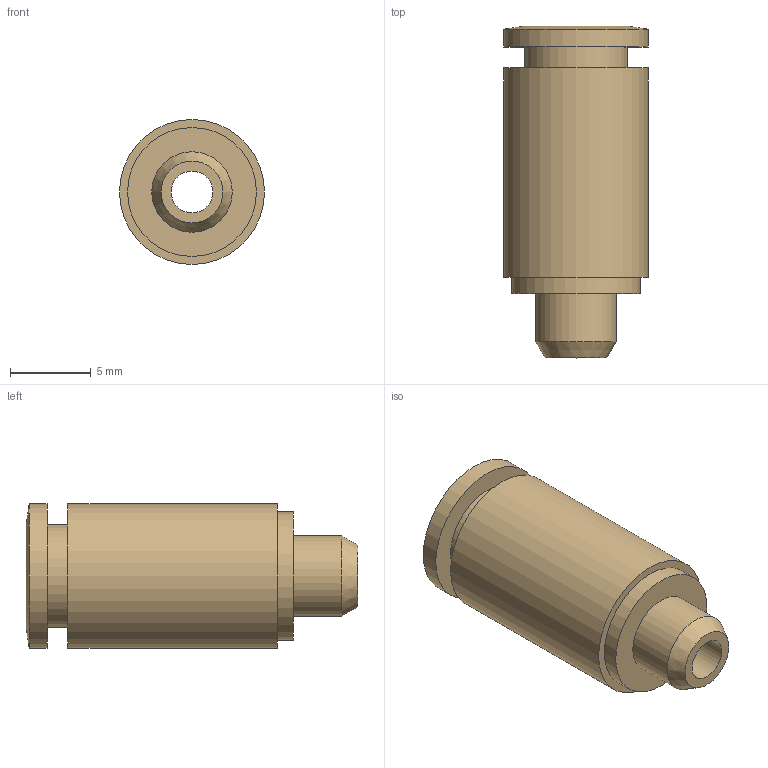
import cadquery as cq
import math


body_diameter = 9.0
collar_diameter = 8.0
nose_diameter = 5.0
groove_diameter = 6.4
head_face_diameter = 6.4
bore_diameter = 2.6

nose_length = 4.0
nose_taper_length = 1.0
collar_length = 1.0
body_length = 13.0
groove_width = 1.3
flange_thickness = 1.1
head_taper_length = 0.2

nose_taper_angle = 30.0

body_radius = body_diameter / 2
collar_radius = collar_diameter / 2
nose_radius = nose_diameter / 2
groove_radius = groove_diameter / 2
head_face_radius = head_face_diameter / 2
nose_tip_radius = nose_radius - nose_taper_length * math.tan(math.radians(nose_taper_angle))

collar_start = nose_length
body_start = collar_start + collar_length
groove_start = body_start + body_length
flange_start = groove_start + groove_width
head_taper_start = flange_start + flange_thickness
overall_length = head_taper_start + head_taper_length


def revolved_sleeve():
    """Solid of revolution: tapered nose, collar, body, groove and flanged head."""
    return (
        cq.Workplane("XY")
        .moveTo(0, 0)
        .lineTo(nose_tip_radius, 0)
        .lineTo(nose_radius, nose_taper_length)
        .lineTo(nose_radius, collar_start)
        .lineTo(collar_radius, collar_start)
        .lineTo(collar_radius, body_start)
        .lineTo(body_radius, body_start)
        .lineTo(body_radius, groove_start)
        .lineTo(groove_radius, groove_start)
        .lineTo(groove_radius, flange_start)
        .lineTo(body_radius, flange_start)
        .lineTo(body_radius, head_taper_start)
        .lineTo(head_face_radius, overall_length)
        .lineTo(0, overall_length)
        .close()
        .revolve(360, (0, 0, 0), (0, 1, 0))
    )


def through_bore():
    """Cylinder along Y that opens the sleeve from end to end."""
    return cq.Workplane("XZ").circle(bore_diameter / 2).extrude(-overall_length)


result = revolved_sleeve().cut(through_bore())